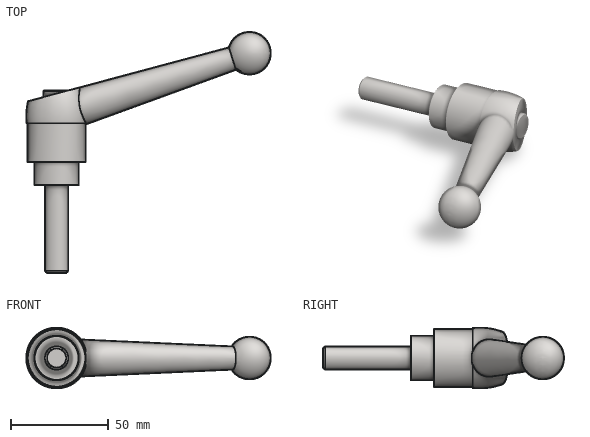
import cadquery as cq
import math


stud_diameter = 12.0
stud_length = 45.0
stud_chamfer = 1.1
collar_diameter = 23.0
collar_length = 12.0
collar_edge_chamfer = 0.3

skirt_diameter = 30.0
skirt_height = 20.0
skirt_edge_chamfer = 0.3
head_radius = 15.65
head_bulge_height = 3.5
head_profile_radius = 33.0
head_height = 20.0

slope_angle = 15.0
slope_height_on_axis = 15.2
cap_diameter = 13.7
cap_height = 17.0
cap_chamfer = 0.6

arm_taper = 2.5
arm_angle = slope_angle + arm_taper
neck_radius = 6.05
ball_radius = 11.0
ball_x = 99.01
ball_y = 55.89
arm_root_x = 6.0

stud_bottom = -collar_length - stud_length
head_base = skirt_height
slope_on_axis = head_base + slope_height_on_axis


def cylinder_along_y(diameter, start, length):
    return cq.Workplane("XZ", origin=(0, start, 0)).circle(diameter / 2).extrude(-length)


def make_stud():
    stud = cylinder_along_y(stud_diameter, stud_bottom, stud_length)
    return stud.faces("<Y").chamfer(stud_chamfer)


def make_collar():
    collar = cylinder_along_y(collar_diameter, -collar_length, collar_length)
    return collar.faces("<Y").chamfer(collar_edge_chamfer)


def make_skirt():
    skirt = cylinder_along_y(skirt_diameter, 0, skirt_height)
    return skirt.faces("<Y").chamfer(skirt_edge_chamfer)


def head_radius_at(height):
    """Radius of the barrel-shaped head at a height above its base."""
    rise = height - head_bulge_height
    return head_radius - head_profile_radius + math.sqrt(head_profile_radius**2 - rise**2)


def make_head():
    profile = (
        cq.Workplane("XY")
        .moveTo(0, head_base)
        .lineTo(head_radius_at(0), head_base)
        .threePointArc(
            (head_radius, head_base + head_bulge_height),
            (head_radius_at(head_height), head_base + head_height),
        )
        .lineTo(0, head_base + head_height)
        .close()
    )
    return profile.revolve(360, (0, 0, 0), (0, 1, 0))


def make_arm():
    """Cone from inside the head to the ball, with its axis through the ball centre."""
    angle = math.radians(arm_angle)
    taper = math.tan(math.radians(arm_taper))
    length = (ball_x - arm_root_x) / math.cos(angle)
    neck_offset = math.sqrt(ball_radius**2 - neck_radius**2)
    cone_length = length - neck_offset
    root_radius = neck_radius + cone_length * taper
    root_y = ball_y - length * math.sin(angle)
    direction = cq.Vector(math.cos(angle), math.sin(angle), 0)
    cone = cq.Solid.makeCone(
        root_radius, neck_radius, cone_length, cq.Vector(arm_root_x, root_y, 0), direction
    )
    neck_core = cq.Solid.makeCylinder(
        neck_radius, neck_offset, cq.Vector(ball_x, ball_y, 0) - direction * neck_offset, direction
    )
    return cq.Workplane(obj=cone).union(cq.Workplane(obj=neck_core))


def make_ball():
    return cq.Workplane("XY").sphere(ball_radius).translate((ball_x, ball_y, 0))


def cut_sloping_top(head):
    """Remove everything of the head above the plane that rises towards the arm."""
    block_size = 4 * head_radius
    waste = (
        cq.Workplane("XY")
        .box(block_size, block_size, block_size, centered=(True, False, True))
        .rotate((0, 0, 0), (0, 0, 1), slope_angle)
        .translate((0, slope_on_axis, 0))
    )
    return head.cut(waste)


def make_cap():
    cap = cylinder_along_y(cap_diameter, head_base, cap_height)
    return cap.faces(">Y").chamfer(cap_chamfer)


result = (
    cut_sloping_top(make_head())
    .union(make_skirt())
    .union(make_collar())
    .union(make_stud())
    .union(make_arm())
    .union(make_ball())
    .union(make_cap())
)